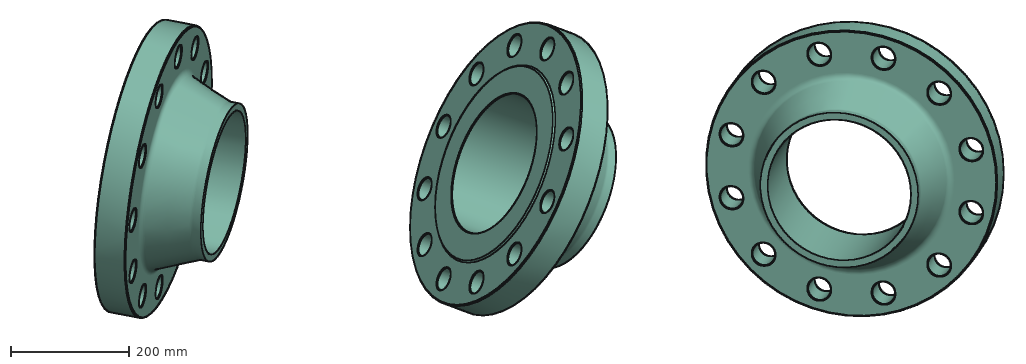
import cadquery as cq
import math

total_length = 157.0
flange_diameter = 505.0
bore_diameter = 248.0

raised_face_height = 3.0
raised_face_base_radius = 175.5
flange_back = 59.0
edge_chamfer = 2.0
bore_chamfer = 1.5

neck_diameter = 273.0
neck_straight_length = 17.0
hub_base_radius = 169.5
hub_fillet_radius = 12.5
neck_blend_radius = 12.5

bolt_count = 12
bolt_circle_diameter = 430.0
bolt_hole_diameter = 39.0
bolt_hole_chamfer = 1.5

flange_radius = flange_diameter / 2
bore_radius = bore_diameter / 2
neck_radius = neck_diameter / 2
cone_end = total_length - neck_straight_length

cone_angle = math.atan((hub_base_radius - neck_radius) / (cone_end - flange_back))
cos_cone = math.cos(cone_angle)
sin_cone = math.sin(cone_angle)


def arc_point(center, radius, angle):
    """Point on an arc in the (axial, radial) half plane."""
    return (center[0] + radius * math.cos(angle), center[1] + radius * math.sin(angle))


def make_body():
    """Revolve the half section of the flange about X."""
    fillet_x = flange_back + hub_fillet_radius
    cone_radius = hub_base_radius - hub_fillet_radius * math.tan(cone_angle)
    hub_center = (fillet_x, cone_radius + hub_fillet_radius / cos_cone)
    cone_side = -math.pi / 2 - cone_angle
    hub_start = arc_point(hub_center, hub_fillet_radius, math.pi)
    hub_middle = arc_point(hub_center, hub_fillet_radius, (cone_side - math.pi) / 2)
    hub_end = arc_point(hub_center, hub_fillet_radius, cone_side)

    blend_offset = neck_blend_radius * math.tan(cone_angle / 2)
    blend_center = (cone_end + blend_offset, neck_radius + neck_blend_radius)
    blend_start = arc_point(blend_center, neck_blend_radius, cone_side)
    blend_middle = arc_point(blend_center, neck_blend_radius, (cone_side - math.pi / 2) / 2)
    blend_end = arc_point(blend_center, neck_blend_radius, -math.pi / 2)

    profile = (
        cq.Workplane("XY")
        .moveTo(0, bore_radius + bore_chamfer)
        .lineTo(0, raised_face_base_radius - raised_face_height)
        .lineTo(raised_face_height, raised_face_base_radius)
        .lineTo(raised_face_height, flange_radius - edge_chamfer)
        .lineTo(raised_face_height + edge_chamfer, flange_radius)
        .lineTo(flange_back - edge_chamfer, flange_radius)
        .lineTo(flange_back, flange_radius - edge_chamfer)
        .lineTo(*hub_start)
        .threePointArc(hub_middle, hub_end)
        .lineTo(*blend_start)
        .threePointArc(blend_middle, blend_end)
        .lineTo(total_length, neck_radius)
        .lineTo(total_length, bore_radius)
        .lineTo(bore_chamfer, bore_radius)
        .close()
    )
    return profile.revolve(360, (0, 0, 0), (1, 0, 0))


def make_bolt_hole_cutter(angle):
    """Bolt hole with both rims chamfered, at the given angle from +Y."""
    hole_radius = bolt_hole_diameter / 2
    rim_radius = hole_radius + bolt_hole_chamfer
    section = [
        (raised_face_height, 0),
        (raised_face_height, rim_radius),
        (raised_face_height + bolt_hole_chamfer, hole_radius),
        (flange_back - bolt_hole_chamfer, hole_radius),
        (flange_back, rim_radius),
        (flange_back, 0),
    ]
    cutter = cq.Workplane("XY").polyline(section).close().revolve(360, (0, 0, 0), (1, 0, 0))
    return cutter.translate((0, bolt_circle_diameter / 2, 0)).rotate((0, 0, 0), (1, 0, 0), angle)


result = make_body()
bolt_pitch = 360 / bolt_count
for index in range(bolt_count):
    result = result.cut(make_bolt_hole_cutter((index + 0.5) * bolt_pitch))